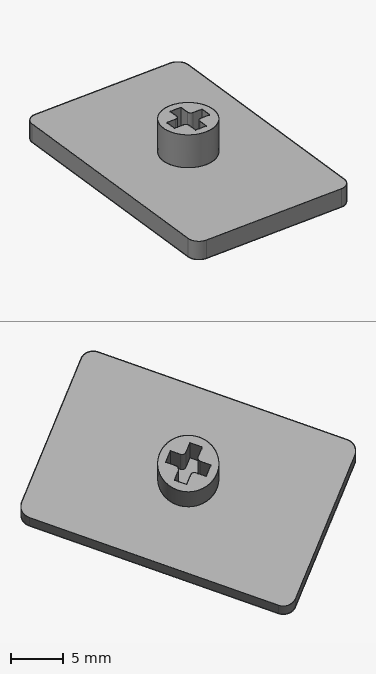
import cadquery as cq

plate_length = 27.73
plate_width = 18.2
plate_thickness = 2.05
corner_radius = 1.25

total_height = 5.7
stem_diameter = 5.8
stem_height = total_height - plate_thickness

socket_span = 4.1
socket_slot_width = 1.25
socket_corner_radius = 0.4
socket_depth = stem_height


def make_plate():
    """Flat plate with rounded vertical corners, resting on Z = 0."""
    plate = cq.Workplane("XY").box(
        plate_length, plate_width, plate_thickness, centered=(True, True, False)
    )
    return plate.edges("|Z").fillet(corner_radius)


def make_stem():
    return (
        cq.Workplane("XY")
        .workplane(offset=plate_thickness)
        .circle(stem_diameter / 2)
        .extrude(stem_height)
    )


def make_socket():
    """Cross prism whose four inner corners are rounded."""
    floor = cq.Workplane("XY").workplane(offset=total_height - socket_depth)
    along_x = floor.rect(socket_span, socket_slot_width).extrude(socket_depth)
    along_y = floor.rect(socket_slot_width, socket_span).extrude(socket_depth)
    inner_corners = cq.selectors.BoxSelector(
        (-socket_slot_width, -socket_slot_width, 0),
        (socket_slot_width, socket_slot_width, total_height),
    )
    cross = along_x.union(along_y)
    return cross.edges("|Z").edges(inner_corners).fillet(socket_corner_radius)


result = make_plate().union(make_stem()).cut(make_socket())